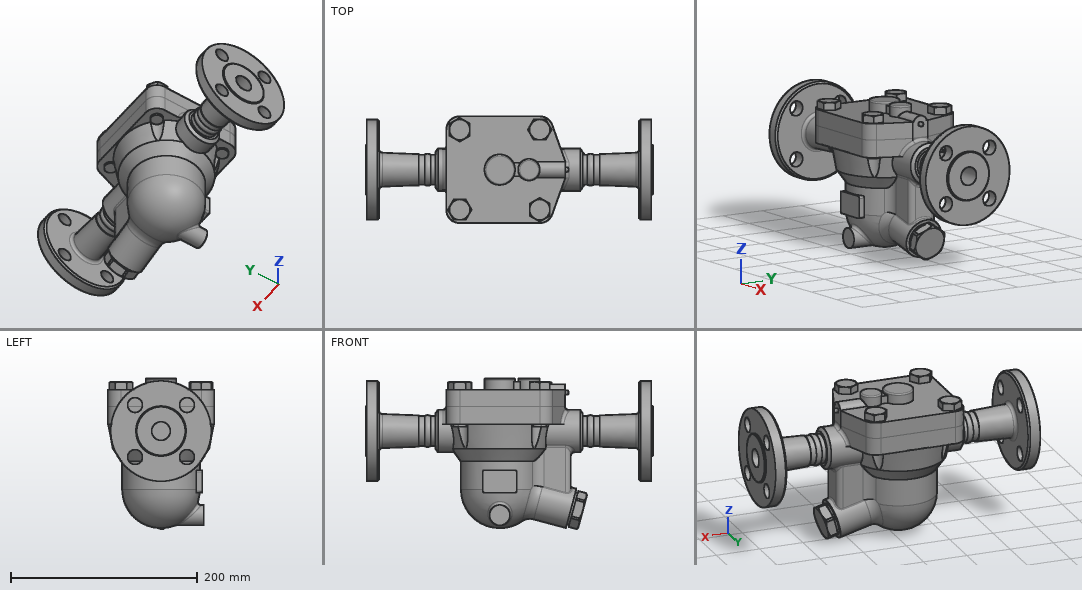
import cadquery as cq
import math


flange_diameter = 108
flange_outer_x = 153.1
flange_inner_x = 139.6
flange_chamfer = 2
flange_hole_diameter = 16
flange_hole_circle = 79
flange_hole_count = 4
raised_face_diameter = 54
raised_face_chamfer = 1
left_face_x = -154
right_face_x = 155
bore_diameter = 20

hub_radius = 18.5
hub_fillet = 3.5
neck_radius = 17
pipe_radius = 16.2
neck_end_x = 97.3
weld_outer_x = 90.8
weld_inner_x = 84.3
weld_height = 1.1
nozzle_radius = 23
nozzle_end_x = 76.3
nozzle_bevel_length = 3
nozzle_bevel_radius = 19

body_x = -10
bolt_offset = 43
corner_radius = 14.5
nose_x = 60.2
nose_half_width = 9.5
flange_bottom_z = 7.3
joint_z = 26.9
cover_top_z = 44.5
nozzle_fillet = 3.8

bolt_across_flats = 22
bolt_head_top_z = 52.8
bolt_tip_diameter = 14
bolt_tip_length = 2.5
bolt_bevel = 0.8
bolt_turned_radius = 12.7

main_boss_radius = 16.5
small_boss_radius = 11.7
small_boss_x = 21.4
boss_top_z = 56.75
boss_fillet = 1.5
web_width = 14.5
web_top_z = 53.2
rib_radius = 9.1
rib_axis_z = 41.4
pin_radius = 2.5
pin_length = 3.8

bowl_radius = 42
bowl_center_z = -62.5
shoulder_z = -18.8
shoulder_bottom_z = -32.7
shoulder_radius = 52
neck_top_radius = 57
bolt_relief_radius = 8.7

plate_width = 36.6
plate_top_z = -42
plate_bottom_z = -66.3
plate_face_y = -44.4
plate_corner_radius = 2

drain_radius = 11
drain_axis_z = -90.4
drain_face_y = -46.2
drain_fillet = 3

strainer_angle = 15
strainer_radius = 22
strainer_end = 79.5
plug_start = 82
plug_end = 92.3
plug_across_flats = 36
plug_turn = 87
plug_turned_radius = 20.1
plug_bevel = 1.5
plug_collar_radius = 18
strainer_fillet = 15
passage_half_width = 16.5
passage_start_x = 20
passage_end_x = 66.5
passage_edge_fillet = 6
passage_root_fillet = 15
passage_bottom_z = -70
passage_top_fillet = 4
passage_bottom_fillet = 1.5


def cylinder_z(radius, x, y, z_bottom, z_top):
    return cq.Workplane("XY", origin=(x, y, z_bottom)).circle(radius).extrude(z_top - z_bottom)


def beveled_hex(workplane, across_flats, height, bevel, turn, turned_radius):
    """Hexagon head whose corners are turned to a cylinder with a bevelled free end."""
    prism = workplane.transformed(rotate=(0, 0, turn)).polygon(6, 2 * across_flats / math.sqrt(3)).extrude(height)
    rim = turned_radius - across_flats / 2
    free_end = cq.selectors.DirectionMinMaxSelector(workplane.plane.zDir, True)
    turned = workplane.circle(turned_radius).extrude(height).faces(free_end).chamfer(bevel, rim)
    return prism.intersect(turned)


def pipe_end(side):
    """Weld-neck flange, tapered neck and weld, on the side given by -1 or 1."""
    face_x = right_face_x if side > 0 else -left_face_x
    flange_radius = flange_diameter / 2
    raised_radius = raised_face_diameter / 2
    bevel_length = (face_x - flange_outer_x) / 2
    bead_crest_x = (weld_outer_x + weld_inner_x) / 2
    profile = (
        cq.Workplane("XZ")
        .moveTo(nozzle_end_x, 0)
        .lineTo(face_x, 0)
        .lineTo(face_x, raised_radius - raised_face_chamfer)
        .lineTo(face_x - bevel_length, raised_radius)
        .lineTo(flange_outer_x, raised_radius)
        .lineTo(flange_outer_x, flange_radius)
        .lineTo(flange_inner_x + flange_chamfer, flange_radius)
        .lineTo(flange_inner_x, flange_radius - flange_chamfer)
        .lineTo(flange_inner_x, hub_radius + hub_fillet)
        .radiusArc((flange_inner_x - hub_fillet, hub_radius), hub_fillet)
        .lineTo(neck_end_x, neck_radius)
        .lineTo(neck_end_x, pipe_radius)
        .lineTo(weld_outer_x, pipe_radius)
        .threePointArc((bead_crest_x, pipe_radius + weld_height), (weld_inner_x, pipe_radius))
        .lineTo(nozzle_end_x + nozzle_bevel_length, pipe_radius)
        .lineTo(nozzle_end_x + nozzle_bevel_length, nozzle_bevel_radius)
        .lineTo(nozzle_end_x, nozzle_radius)
        .close()
    )
    solid = profile.revolve(360, (0, 0, 0), (1, 0, 0))
    holes = (
        cq.Workplane("YZ", origin=(flange_inner_x, 0, 0))
        .polarArray(flange_hole_circle / 2, 45, 360, flange_hole_count)
        .circle(flange_hole_diameter / 2)
        .extrude(face_x - flange_inner_x)
    )
    bore = (
        cq.Workplane("YZ", origin=(nozzle_end_x, 0, 0))
        .circle(bore_diameter / 2)
        .extrude(face_x - nozzle_end_x)
    )
    solid = solid.cut(holes).cut(bore)
    return solid if side > 0 else solid.mirror("YZ")


def cover_outline(z):
    """Square with round corners whose +X side runs out to a blunt nose."""
    left = body_x - bolt_offset
    right = body_x + bolt_offset
    half_width = bolt_offset + corner_radius
    to_nose_x = nose_x - right
    to_nose_y = bolt_offset - nose_half_width
    nose_distance = math.hypot(to_nose_x, to_nose_y)
    touch = math.acos(corner_radius / nose_distance) - math.atan2(to_nose_y, to_nose_x)
    touch_x = right + corner_radius * math.cos(touch)
    touch_y = bolt_offset + corner_radius * math.sin(touch)
    return (
        cq.Workplane("XY", origin=(0, 0, z))
        .moveTo(left, half_width)
        .lineTo(right, half_width)
        .radiusArc((touch_x, touch_y), corner_radius)
        .lineTo(nose_x, nose_half_width)
        .lineTo(nose_x, -nose_half_width)
        .lineTo(touch_x, -touch_y)
        .radiusArc((right, -half_width), corner_radius)
        .lineTo(left, -half_width)
        .radiusArc((left - corner_radius, -bolt_offset), corner_radius)
        .lineTo(left - corner_radius, bolt_offset)
        .radiusArc((left, half_width), corner_radius)
        .close()
    )


def bolt_centers():
    return [
        (body_x + side_x * bolt_offset, side_y * bolt_offset)
        for side_x in (-1, 1)
        for side_y in (-1, 1)
    ]


def bolt_head(x, y):
    """Bolt head on the cover; neighbouring heads are turned by half a flat."""
    turn = 30 if (x - body_x) * y < 0 else 0
    height = bolt_head_top_z - cover_top_z
    base = cq.Workplane("XY", origin=(x, y, cover_top_z))
    return beveled_hex(base, bolt_across_flats, height, bolt_bevel, turn, bolt_turned_radius)


def bolt_tip(x, y):
    return cylinder_z(bolt_tip_diameter / 2, x, y, flange_bottom_z - bolt_tip_length, joint_z)


def body_flange_with_nozzles():
    """Body flange blended into the nozzle cylinders above its lower face."""
    lower_z = -1.5 * nozzle_radius
    block = cover_outline(lower_z).extrude(joint_z - lower_z)
    nozzles = cq.Workplane("YZ", origin=(-nozzle_end_x, 0, 0)).circle(nozzle_radius).extrude(2 * nozzle_end_x)
    blended = block.union(nozzles)
    seam = cq.selectors.BoxSelector(
        (-nozzle_end_x + 1, -nozzle_radius - 1, -nozzle_radius - 1),
        (nozzle_end_x - 1, nozzle_radius + 1, nozzle_radius + 1),
        boundingbox=True,
    )
    blended = blended.edges(seam).edges("not |X").fillet(nozzle_fillet)
    slab = cq.Workplane("XY", origin=(0, 0, flange_bottom_z)).rect(400, 200).extrude(joint_z - flange_bottom_z)
    solid = blended.intersect(slab).union(nozzles)
    for x, y in bolt_centers():
        solid = solid.union(bolt_tip(x, y))
    return solid


def cover():
    plate = cover_outline(joint_z).extrude(cover_top_z - joint_z)
    main_boss = cylinder_z(main_boss_radius, body_x, 0, joint_z, boss_top_z).faces(">Z").edges().fillet(boss_fillet)
    small_boss = cylinder_z(small_boss_radius, small_boss_x, 0, joint_z, boss_top_z)
    small_boss = small_boss.faces(">Z").edges().fillet(boss_fillet)
    web = (
        cq.Workplane("XY", origin=((body_x + small_boss_x) / 2, 0, joint_z))
        .rect(small_boss_x - body_x, web_width)
        .extrude(web_top_z - joint_z)
    )
    rib = (
        cq.Workplane("YZ", origin=(small_boss_x, 0, rib_axis_z)).circle(rib_radius).extrude(nose_x - small_boss_x)
    )
    pin = (
        cq.Workplane("YZ", origin=(nose_x, 0, rib_axis_z)).circle(pin_radius).extrude(pin_length)
        .faces(">X").edges().fillet(0.7 * pin_radius)
    )
    solid = plate.union(main_boss).union(small_boss).union(web).union(rib).union(pin)
    for x, y in bolt_centers():
        solid = solid.union(bolt_head(x, y))
    return solid


def bowl():
    """Round body: tapered neck, shoulder, barrel and dome, with the drain stub at the bottom."""
    solid = (
        cq.Workplane("XZ", origin=(body_x, 0, 0))
        .moveTo(0, flange_bottom_z)
        .lineTo(neck_top_radius, flange_bottom_z)
        .lineTo(shoulder_radius, shoulder_z)
        .lineTo(bowl_radius, shoulder_bottom_z)
        .lineTo(bowl_radius, bowl_center_z)
        .radiusArc((0, bowl_center_z - bowl_radius), bowl_radius)
        .close()
        .revolve(360, (0, 0, 0), (0, 1, 0))
    )
    for x, y in bolt_centers():
        solid = solid.cut(cylinder_z(bolt_relief_radius, x, y, shoulder_z, flange_bottom_z))
    stub = cq.Workplane("XZ", origin=(body_x, 0, drain_axis_z)).circle(drain_radius).extrude(-drain_face_y)
    root = cq.selectors.BoxSelector(
        (body_x - drain_radius - 1, -bowl_radius, drain_axis_z - drain_radius - 1),
        (body_x + drain_radius + 1, -1, drain_axis_z + drain_radius + 1),
        boundingbox=True,
    )
    return solid.union(stub).edges(root).edges("not |Y").fillet(drain_fillet)


def name_plate():
    return (
        cq.Workplane("XZ", origin=(body_x, 0, (plate_top_z + plate_bottom_z) / 2))
        .rect(plate_width, plate_top_z - plate_bottom_z)
        .extrude(-plate_face_y)
        .edges("|Y")
        .fillet(plate_corner_radius)
    )


def strainer():
    """Inclined cylinder through the bowl centre, blended into the bowl, closed by a hexagon plug."""
    blend_center_r = strainer_radius + strainer_fillet
    blend_reach = bowl_radius + strainer_fillet
    blend_end = math.sqrt(blend_reach**2 - blend_center_r**2)
    on_bowl = bowl_radius / blend_reach
    pocket = (
        cq.Workplane("XZ")
        .lineTo(0, on_bowl * blend_center_r)
        .lineTo(on_bowl * blend_end, on_bowl * blend_center_r)
        .radiusArc((blend_end, strainer_radius), -strainer_fillet)
        .lineTo(strainer_end, strainer_radius)
        .lineTo(strainer_end, plug_collar_radius)
        .lineTo(plug_start, plug_collar_radius)
        .lineTo(plug_start, 0)
        .close()
        .revolve(360, (0, 0, 0), (1, 0, 0))
    )
    plug_plane = cq.Workplane("YZ", origin=(plug_start, 0, 0))
    plug_length = plug_end - plug_start
    plug = beveled_hex(plug_plane, plug_across_flats, plug_length, plug_bevel, plug_turn, plug_turned_radius)
    return strainer_placed(pocket.union(plug))


def strainer_placed(shape):
    """Tilt a shape built along X into the strainer axis, starting at the bowl centre."""
    return shape.rotate((0, 0, 0), (0, 1, 0), strainer_angle).translate((body_x, 0, bowl_center_z))


def add_passage(body):
    """Add the upright passage from the outlet nozzle to the strainer, with filleted ends."""
    upright = (
        cq.Workplane("XY", origin=(0, 0, passage_bottom_z))
        .moveTo(passage_start_x, -passage_half_width)
        .lineTo(passage_end_x, -passage_half_width)
        .lineTo(passage_end_x, passage_half_width)
        .lineTo(passage_start_x, passage_half_width)
        .close()
        .extrude(-passage_bottom_z)
        .edges("|Z and >X")
        .fillet(passage_edge_fillet)
    )
    pocket = strainer_placed(cq.Workplane("YZ").circle(strainer_radius).extrude(strainer_end))
    top_seam = passage_seam(-nozzle_radius - 1, -nozzle_radius / 2)
    bottom_seam = passage_seam(passage_bottom_z + 1, bowl_center_z + strainer_radius)
    joined = body.union(upright).edges(top_seam).edges("not |Z").fillet(passage_top_fillet)
    return joined.union(pocket).edges(bottom_seam).edges("not |Z").fillet(passage_bottom_fillet)


def passage_seam(z_low, z_high):
    """Selects edges around the passage, ahead of its start face, between two heights."""
    return cq.selectors.BoxSelector(
        (passage_start_x + 1, -passage_half_width - 1, z_low),
        (passage_end_x + 1, passage_half_width + 1, z_high),
    )


def passage_flare():
    """Concave blend between the round bowl and the flat sides of the passage."""
    root_center_y = passage_half_width + passage_root_fillet
    root_reach = bowl_radius + passage_root_fillet
    root_end = math.sqrt(root_reach**2 - root_center_y**2)
    on_bowl = bowl_radius / root_reach
    return (
        cq.Workplane("XY", origin=(body_x, 0, passage_bottom_z))
        .moveTo(0, on_bowl * root_center_y)
        .lineTo(on_bowl * root_end, on_bowl * root_center_y)
        .radiusArc((root_end, passage_half_width), -passage_root_fillet)
        .lineTo(root_end, -passage_half_width)
        .radiusArc((on_bowl * root_end, -on_bowl * root_center_y), -passage_root_fillet)
        .lineTo(0, -on_bowl * root_center_y)
        .close()
        .extrude(shoulder_z - passage_bottom_z)
    )


result = (
    add_passage(body_flange_with_nozzles())
    .union(bowl())
    .union(passage_flare())
    .union(strainer())
    .union(name_plate())
    .union(pipe_end(-1))
    .union(pipe_end(1))
)
result = result.union(cover(), clean=False)